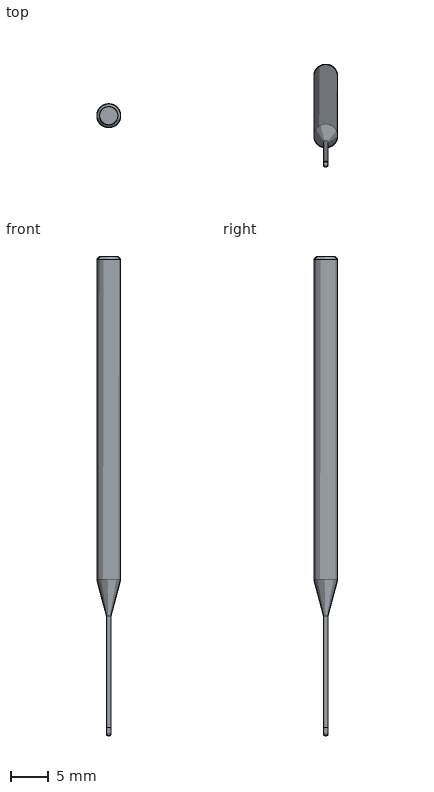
import cadquery as cq
import math

overall_length = 63.5

cutter_diameter = 0.635
cutter_length = 1.1
cutter_radius = cutter_diameter / 2

neck_diameter = 0.6
neck_radius = neck_diameter / 2
neck_top = 15.875
shank_diameter = 3.175
shank_radius = shank_diameter / 2
shank_bottom = 20.7
taper_half_angle = math.atan2(shank_radius - neck_radius, shank_bottom - neck_top)

neck_fillet_radius = 0.6
neck_fillet_setback = neck_fillet_radius * math.tan(taper_half_angle / 2)

chamfer_size = 0.38


def make_cutter():
    """Short cylinder that ends in a full hemisphere at the tip."""
    arc_middle_x = cutter_radius * math.cos(math.pi / 4)
    arc_middle_z = cutter_radius * (1 - math.sin(math.pi / 4))
    profile = (
        cq.Workplane("XZ")
        .moveTo(0, 0)
        .threePointArc((arc_middle_x, arc_middle_z), (cutter_radius, cutter_radius))
        .lineTo(cutter_radius, cutter_length)
        .lineTo(0, cutter_length)
        .close()
    )
    return profile.revolve(360, (0, 0), (0, 1))


def make_shank():
    """Thin neck, filleted conical taper and plain shank, seated flat on the cutter."""
    fillet_top_x = neck_radius + neck_fillet_setback * math.sin(taper_half_angle)
    fillet_top_z = neck_top + neck_fillet_setback * math.cos(taper_half_angle)
    profile = (
        cq.Workplane("XZ")
        .moveTo(0, cutter_length)
        .lineTo(neck_radius, cutter_length)
        .lineTo(neck_radius, neck_top - neck_fillet_setback)
        .tangentArcPoint((fillet_top_x, fillet_top_z), relative=False)
        .lineTo(shank_radius, shank_bottom)
        .lineTo(shank_radius, overall_length - chamfer_size)
        .lineTo(shank_radius - chamfer_size, overall_length)
        .lineTo(0, overall_length)
        .close()
    )
    return profile.revolve(360, (0, 0), (0, 1))


cutter = make_cutter()
shank = make_shank()

result = cq.Compound.makeCompound([cutter.val(), shank.val()])